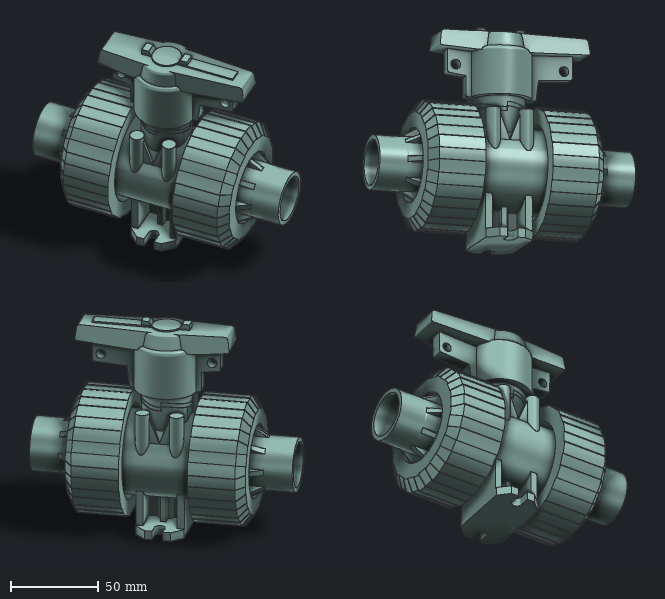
import cadquery as cq
import math


HALF_LENGTH = 77.0
BASE_BOTTOM = -43.6
BORE_RADIUS = 12.5

BARREL_RADIUS = 24.8
BARREL_HALF_LENGTH = 41.6
NECK_RADIUS = 14.6
NECK_FLAT_X = 13.4
NECK_TOP = 54.8
COLLAR_RADIUS = 15.1
COLLAR_STEP = 0.2
COLLAR_TOP = 41.5
COLLAR_BOTTOM = 32.3
UPPER_TOOTH_CURVE = 37.7
LOWER_TOOTH_CURVE = 35.3
TOOTH_COUNT = 4

POST_RADIUS = 4.2
POST_X = 10.0
POST_Y = 19.4
GUSSET_OUTER_Y = 20.3
GUSSET_THICKNESS = 2.0
VEE_RISE = 2.5
VEE_BOTTOM = 14.5

BASE_HALF_X = 14.2
BASE_HALF_Y = 25.0
BASE_THICKNESS = 5.4
CORNER_X = 6.5
CORNER_Y = 6.2
SLOT_HALF_WIDTH = 3.1
SLOT_CENTRE_Y = 18.6
SIDE_PLATE_THICKNESS = 4.2
SIDE_PLATE_HALF_Y = 17.9
FOOT_BOSS_RADIUS = 5.0
FOOT_RIB_THICKNESS = 3.2
FOOT_RIB_HALF_Y = 9.4

NUT_INNER_X = 20.2
NUT_CHAMFER_X = 48.0
NUT_OUTER_X = 52.8
NUT_RADIUS = 37.7
NUT_FACE_RADIUS = 31.1
GRIP_DEPTH = 0.54
GRIP_WIDTH = 7.0
GRIP_COUNT = 16
NUT_BORE_RADIUS = 28.0
NUT_LIP_X = 46.2
NUT_LIP_RADIUS = 21.5

PIPE_RADIUS = 16.0
PIPE_MOUTH_RADIUS = 13.2
HUB_RADIUS = 16.2
PIPE_INNER_X = 60.0
HUB_CHAMFER_LENGTH = 0.6
RIB_COUNT = 8
RIB_ROOT_WIDTH = 3.4
RIB_TIP_WIDTH = 2.5
RIB_FULL_X = 49.9

GRIP_HUB_RADIUS = 18.8
SHOULDER_START = 67.6
SHOULDER_RADIUS = 2.5
SHOULDER_SWEEP = 56.0
CONE_BASE_RADIUS = 16.5
CONE_BASE_Z = 70.4
CONE_TOP_RADIUS = 14.8
LEVER_TOP = 79.0
CONE_FILLET = 2.0
HUB_SLOT_HALF_WIDTH = 4.5

LEVER_BOTTOM = 67.9
LEVER_LEFT = -39.1
LEVER_RIGHT = 52.4
LEVER_LEFT_HALF_WIDTH = 10.5
LEVER_MIDDLE_HALF_WIDTH = 13.2
LEVER_RIGHT_HALF_WIDTH = 9.4
LEVER_DRAFT = 7.5
LEVER_END_RISE = 1.5
LEVER_TIP_FILLET = 2.3
LEVER_HEEL_FILLET = 1.1

BLADE_HALF_THICKNESS = 3.5
BLADE_LEFT = -32.2
BLADE_RIGHT = 43.0
BLADE_OUTER_Z = 55.1
BLADE_INNER_Z = 53.7
BLADE_NECK_LEFT = -21.1
BLADE_NECK_RIGHT_TOP = 22.6
BLADE_NECK_RIGHT_BOTTOM = 21.1
BLADE_CORNER = 1.1
LOCK_HOLE_RADIUS = 2.8
LOCK_HOLE_Z = 60.0
LOCK_HOLES_X = (-27.3, 37.9)

DISC_RADIUS = 8.6
RAISED_TOP = 80.0
STRIP_HALF_WIDTH = 3.7
TAB_TOP = 82.4
TAB_OUTER_X = 14.2
TAB_INNER_X = 9.9
TAB_FOOT_X = 8.3
TAB_HALF_WIDTH = 3.4


def box(x_range, y_range, z_range):
    """A box given by its lowest and highest X, Y and Z."""
    ranges = (x_range, y_range, z_range)
    sizes = [high - low for low, high in ranges]
    corner = tuple(low for low, high in ranges)
    return cq.Workplane("XY").box(*sizes, centered=False).translate(corner)


def cylinder_z(radius, bottom, top):
    """A vertical cylinder on the Z axis."""
    return cq.Workplane("XY").workplane(offset=bottom).circle(radius).extrude(top - bottom)


def cylinder_x(radius, start, end):
    """A cylinder on the X axis."""
    return cq.Workplane("YZ").workplane(offset=start).circle(radius).extrude(end - start)


def revolve_x(points):
    """Turn an (x, radius) outline about the X axis."""
    return cq.Workplane("XY").polyline(points).close().revolve(360, (0, 0, 0), (1, 0, 0))


def prism_y(points, half_width):
    """Extrude an (x, z) outline to both sides of the XZ plane."""
    return cq.Workplane("XZ").polyline(points).close().extrude(half_width, both=True)


def collar_tier(radius, tooth_curve):
    """A collar whose underside is four saw teeth, each with a curved slope."""
    tier = cylinder_z(radius, COLLAR_BOTTOM, COLLAR_TOP)
    quarter = box((0, BARREL_RADIUS), (-BARREL_RADIUS, 0), (0, COLLAR_TOP))
    under_tooth = cq.Workplane("XZ").circle(tooth_curve).extrude(BARREL_RADIUS, both=True)
    under_tooth = under_tooth.intersect(quarter)
    for i in range(TOOTH_COUNT):
        tier = tier.cut(under_tooth.rotate((0, 0, 0), (0, 0, 1), i * 360 / TOOTH_COUNT))
    return tier


def make_neck():
    """The neck: flat on both X sides up to the collar, then a round stem."""
    flats = box((-NECK_FLAT_X, NECK_FLAT_X), (-NECK_RADIUS, NECK_RADIUS), (0, COLLAR_TOP))
    neck = cylinder_z(NECK_RADIUS, 0, COLLAR_TOP).intersect(flats)
    return neck.union(cylinder_z(NECK_RADIUS, COLLAR_TOP, NECK_TOP))


def gusset_pair():
    """The wall between two posts, with a vee cut out of it."""
    wall = box(
        (-POST_X, POST_X),
        (-GUSSET_OUTER_Y, GUSSET_THICKNESS - GUSSET_OUTER_Y),
        (0, COLLAR_BOTTOM),
    )
    vee_half_width = (COLLAR_BOTTOM - VEE_BOTTOM) / VEE_RISE
    vee = prism_y(
        [(0, VEE_BOTTOM), (vee_half_width, COLLAR_BOTTOM), (-vee_half_width, COLLAR_BOTTOM)],
        BASE_HALF_Y,
    )
    return wall.cut(vee)


def make_foot():
    """The slotted base plate and the walls that carry it."""
    base_top = BASE_BOTTOM + BASE_THICKNESS
    base = box(
        (-BASE_HALF_X, BASE_HALF_X), (-BASE_HALF_Y, BASE_HALF_Y), (BASE_BOTTOM, base_top)
    )
    corner = cq.Workplane("XY").workplane(offset=BASE_BOTTOM).polyline([
        (BASE_HALF_X, BASE_HALF_Y),
        (BASE_HALF_X - CORNER_X, BASE_HALF_Y),
        (BASE_HALF_X, BASE_HALF_Y - CORNER_Y),
    ]).close().extrude(BASE_THICKNESS)
    corners = corner.union(corner.mirror("YZ"))
    base = base.cut(corners).cut(corners.mirror("XZ"))

    slot_length = 2 * (BASE_HALF_Y - SLOT_CENTRE_Y + SLOT_HALF_WIDTH)
    slots = cq.Workplane("XY").workplane(offset=BASE_BOTTOM).pushPoints(
        [(0, BASE_HALF_Y), (0, -BASE_HALF_Y)]
    ).slot2D(slot_length, 2 * SLOT_HALF_WIDTH, 90).extrude(BASE_THICKNESS)
    foot = base.cut(slots)

    wall_z = (base_top, 0)
    half_rib = FOOT_RIB_THICKNESS / 2
    side_y = (-SIDE_PLATE_HALF_Y, SIDE_PLATE_HALF_Y)
    plate_inner_x = BASE_HALF_X - SIDE_PLATE_THICKNESS
    foot = foot.union(box((-BASE_HALF_X, -plate_inner_x), side_y, wall_z))
    foot = foot.union(box((plate_inner_x, BASE_HALF_X), side_y, wall_z))
    foot = foot.union(box((-BASE_HALF_X, BASE_HALF_X), (-half_rib, half_rib), wall_z))
    foot = foot.union(box((-half_rib, half_rib), (-FOOT_RIB_HALF_Y, FOOT_RIB_HALF_Y), wall_z))
    return foot.union(cylinder_z(FOOT_BOSS_RADIUS, base_top, 0))


def make_body():
    body = cylinder_x(BARREL_RADIUS, -BARREL_HALF_LENGTH, BARREL_HALF_LENGTH)
    body = body.union(make_neck())
    body = body.union(collar_tier(COLLAR_RADIUS, UPPER_TOOTH_CURVE))
    body = body.union(collar_tier(COLLAR_RADIUS - COLLAR_STEP, LOWER_TOOTH_CURVE))
    for x in (-POST_X, POST_X):
        for y in (-POST_Y, POST_Y):
            body = body.union(cylinder_z(POST_RADIUS, 0, COLLAR_BOTTOM).translate((x, y, 0)))
    gussets = gusset_pair()
    body = body.union(gussets).union(gussets.mirror("XZ"))
    body = body.union(make_foot())
    return body.cut(cylinder_x(BORE_RADIUS, -BARREL_HALF_LENGTH, BARREL_HALF_LENGTH))


def nut_blank(inset):
    """The chamfered outside of the nut, made smaller all round by inset."""
    radius = NUT_RADIUS - inset
    return revolve_x([
        (NUT_INNER_X, 0),
        (NUT_INNER_X, radius),
        (NUT_CHAMFER_X, radius),
        (NUT_OUTER_X, NUT_FACE_RADIUS - inset),
        (NUT_OUTER_X, 0),
    ])


def make_nut():
    """The nut at the +X end, with straight grip grooves round it."""
    teeth = nut_blank(0)
    half_width = GRIP_WIDTH / 2
    for i in range(GRIP_COUNT):
        groove = box((NUT_INNER_X, NUT_OUTER_X), (-half_width, half_width), (0, NUT_RADIUS))
        teeth = teeth.cut(groove.rotate((0, 0, 0), (1, 0, 0), i * 360 / GRIP_COUNT))
    nut = nut_blank(GRIP_DEPTH).union(teeth)
    nut = nut.cut(cylinder_x(NUT_BORE_RADIUS, NUT_INNER_X, NUT_LIP_X))
    return nut.cut(cylinder_x(NUT_LIP_RADIUS, NUT_LIP_X, NUT_OUTER_X))


def connector_ribs():
    """Tapered ribs on the hub, sloping up from the pipe to the nut lip."""
    envelope = revolve_x([
        (NUT_LIP_X, 0),
        (NUT_LIP_X, NUT_LIP_RADIUS),
        (RIB_FULL_X, NUT_LIP_RADIUS),
        (PIPE_INNER_X, PIPE_RADIUS),
        (PIPE_INNER_X, 0),
    ])
    blade = cq.Workplane("YZ").workplane(offset=NUT_LIP_X).polyline([
        (-RIB_ROOT_WIDTH / 2, PIPE_MOUTH_RADIUS),
        (RIB_ROOT_WIDTH / 2, PIPE_MOUTH_RADIUS),
        (RIB_ROOT_WIDTH / 2, PIPE_RADIUS),
        (RIB_TIP_WIDTH / 2, NUT_LIP_RADIUS),
        (-RIB_TIP_WIDTH / 2, NUT_LIP_RADIUS),
        (-RIB_ROOT_WIDTH / 2, PIPE_RADIUS),
    ]).close().extrude(PIPE_INNER_X - NUT_LIP_X)
    rib = blade.intersect(envelope)
    return [rib.rotate((0, 0, 0), (1, 0, 0), i * 360 / RIB_COUNT) for i in range(RIB_COUNT)]


def make_connector():
    """The connector at the +X end: flange, ribbed hub and pipe, with a tapering bore."""
    connector = revolve_x([
        (BARREL_HALF_LENGTH, 0),
        (BARREL_HALF_LENGTH, NUT_BORE_RADIUS),
        (NUT_LIP_X, NUT_BORE_RADIUS),
        (NUT_LIP_X, HUB_RADIUS),
        (PIPE_INNER_X - HUB_CHAMFER_LENGTH, HUB_RADIUS),
        (PIPE_INNER_X, PIPE_RADIUS),
        (HALF_LENGTH, PIPE_RADIUS),
        (HALF_LENGTH, 0),
    ])
    for rib in connector_ribs():
        connector = connector.union(rib)
    return connector.cut(revolve_x([
        (BARREL_HALF_LENGTH, 0),
        (BARREL_HALF_LENGTH, BORE_RADIUS),
        (HALF_LENGTH, PIPE_MOUTH_RADIUS),
        (HALF_LENGTH, 0),
    ]))


def handle_hub():
    """The round hub: a cylinder with a rounded shoulder and a cone on top."""
    def shoulder_point(degrees):
        angle = math.radians(degrees)
        return (
            GRIP_HUB_RADIUS - SHOULDER_RADIUS * (1 - math.cos(angle)),
            SHOULDER_START + SHOULDER_RADIUS * math.sin(angle),
        )

    return (
        cq.Workplane("XZ")
        .moveTo(0, COLLAR_TOP)
        .lineTo(GRIP_HUB_RADIUS, COLLAR_TOP)
        .lineTo(GRIP_HUB_RADIUS, SHOULDER_START)
        .threePointArc(shoulder_point(SHOULDER_SWEEP / 2), shoulder_point(SHOULDER_SWEEP))
        .lineTo(CONE_BASE_RADIUS, CONE_BASE_Z)
        .lineTo(CONE_TOP_RADIUS, LEVER_TOP)
        .lineTo(0, LEVER_TOP)
        .close()
        .revolve(360, (0, 0, 0), (0, 1, 0))
        .faces(">Z")
        .edges()
        .fillet(CONE_FILLET)
    )


def handle_lever():
    """The drafted lever, widest at the hub, with an underside that climbs to its ends."""
    lever = cq.Workplane("XY").workplane(offset=LEVER_BOTTOM).polyline([
        (LEVER_LEFT, -LEVER_LEFT_HALF_WIDTH),
        (0, -LEVER_MIDDLE_HALF_WIDTH),
        (LEVER_RIGHT, -LEVER_RIGHT_HALF_WIDTH),
        (LEVER_RIGHT, LEVER_RIGHT_HALF_WIDTH),
        (0, LEVER_MIDDLE_HALF_WIDTH),
        (LEVER_LEFT, LEVER_LEFT_HALF_WIDTH),
    ]).close().extrude(LEVER_TOP - LEVER_BOTTOM, taper=LEVER_DRAFT)
    lever = lever.faces(">Z").edges("|Y").fillet(LEVER_TIP_FILLET)
    for end_x, hub_x in ((LEVER_LEFT, -GRIP_HUB_RADIUS), (LEVER_RIGHT, GRIP_HUB_RADIUS)):
        under = prism_y(
            [
                (hub_x, LEVER_BOTTOM),
                (end_x, LEVER_BOTTOM),
                (end_x, LEVER_BOTTOM + LEVER_END_RISE),
            ],
            GRIP_HUB_RADIUS,
        )
        lever = lever.cut(under)
    heels = lever.edges("|Y").edges("<X or >X")
    return heels.fillet(LEVER_HEEL_FILLET)


def handle_blade():
    """The upright plate under the lever, with a lock hole at each end."""
    plate_top = LEVER_BOTTOM + LEVER_END_RISE
    blade = prism_y(
        [
            (BLADE_LEFT, plate_top),
            (BLADE_LEFT, BLADE_OUTER_Z),
            (BLADE_NECK_LEFT, BLADE_INNER_Z),
            (BLADE_NECK_LEFT, COLLAR_TOP),
            (BLADE_NECK_RIGHT_BOTTOM, COLLAR_TOP),
            (BLADE_NECK_RIGHT_TOP, BLADE_INNER_Z),
            (BLADE_RIGHT, BLADE_OUTER_Z),
            (BLADE_RIGHT, plate_top),
        ],
        BLADE_HALF_THICKNESS,
    )
    outer_corners = blade.edges("|Y").edges("<X or >X").edges("<Z")
    blade = outer_corners.fillet(BLADE_CORNER)
    blade = blade.faces("<Z").edges("|Y").fillet(BLADE_CORNER)
    holes = cq.Workplane("XZ").pushPoints([(x, LOCK_HOLE_Z) for x in LOCK_HOLES_X]).circle(
        LOCK_HOLE_RADIUS
    ).extrude(BLADE_HALF_THICKNESS, both=True)
    return blade.cut(holes)


def raised_details():
    """The disc, strip and two tabs that stand on top of the lever."""
    raised_z = (LEVER_TOP, RAISED_TOP)
    details = cylinder_z(DISC_RADIUS, *raised_z)
    strip = box((0, BLADE_RIGHT), (-STRIP_HALF_WIDTH, STRIP_HALF_WIDTH), raised_z)
    tab = prism_y(
        [
            (TAB_OUTER_X, LEVER_TOP),
            (TAB_OUTER_X, TAB_TOP),
            (TAB_INNER_X, TAB_TOP),
            (TAB_FOOT_X, RAISED_TOP),
            (TAB_FOOT_X, LEVER_TOP),
        ],
        TAB_HALF_WIDTH,
    )
    return details.union(strip).union(tab).union(tab.mirror("YZ"))


def make_handle():
    slot = box(
        (-GRIP_HUB_RADIUS, GRIP_HUB_RADIUS),
        (-HUB_SLOT_HALF_WIDTH, HUB_SLOT_HALF_WIDTH),
        (COLLAR_TOP, LEVER_BOTTOM),
    )
    handle = handle_hub().cut(slot)
    handle = handle.union(handle_lever()).union(handle_blade()).union(raised_details())
    return handle.cut(cylinder_z(NECK_RADIUS, COLLAR_TOP, NECK_TOP))


body = make_body()
handle = make_handle()
nuts = []
connectors = []
for turn in (0, 180):
    nuts.append(make_nut().rotate((0, 0, 0), (0, 0, 1), turn))
    connectors.append(make_connector().rotate((0, 0, 0), (0, 0, 1), turn))

result = cq.Compound.makeCompound(
    [body.val(), handle.val()] + [part.val() for part in nuts + connectors]
)